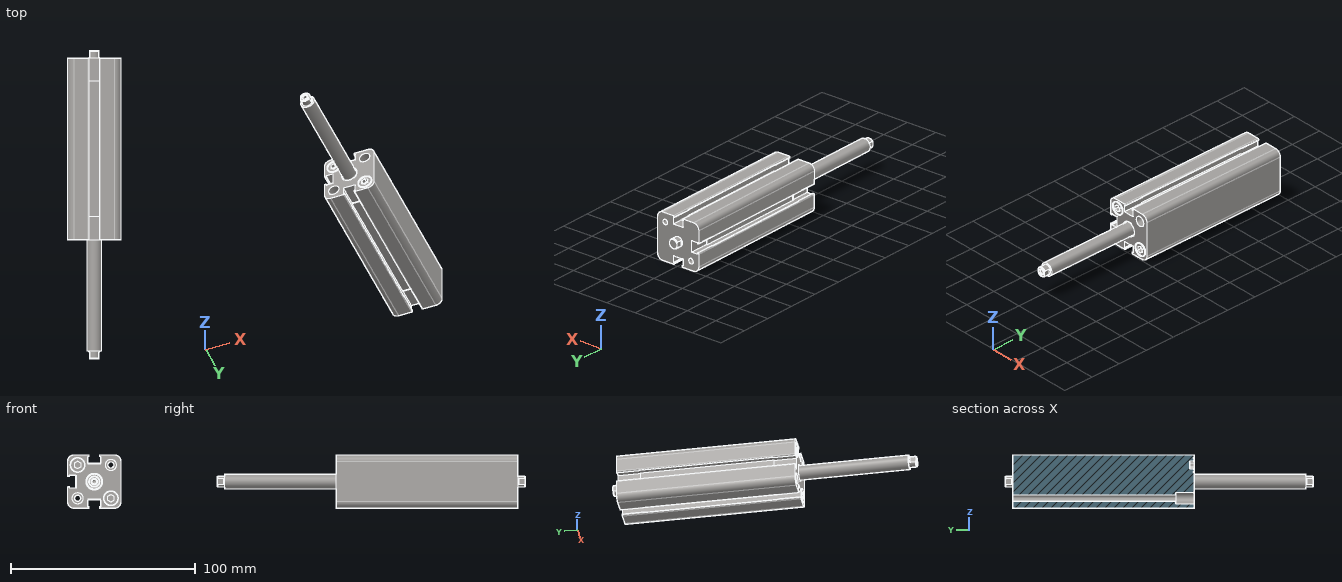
import cadquery as cq
import math


body_side = 29.0
body_length = 98.4
corner_radius = 3.7
cap_length = 12.5

slot_width = 6.8
slot_opening = 5.5
lip_thickness = 1.0
lip_round = lip_thickness / 2
cap_slot_depth = 5.0
barrel_slot_depth = 4.5

rod_diameter = 8.0
rod_extension = 60.3
rod_clearance_diameter = 9.0
rod_clearance_depth = 1.0

end_diameter = 6.0
end_length = 4.2
end_flats = 5.0
end_collar = 0.7
end_chamfer_depth = 0.3
end_chamfer_length = 0.5

rod_hole_diameter = 2.5
rod_hole_mouth = 3.5
rod_hole_depth = 6.7
drill_point_angle = 118

corner_offset = 9.0
through_diameter = 3.2
counterbore_diameter = 6.0
counterbore_depth = 10.0
screw_recess_diameter = 8.0
screw_recess_depth = 0.5
screw_head_diameter = 7.5
screw_socket_flats = 3.5
screw_socket_depth = 2.5
hex_sides = 6


def y_cylinder(diameter, y_start, length, x=0, z=0):
    """Cylinder along +Y from y_start, with its axis at (x, z)."""
    base = cq.Vector(x, y_start, z)
    return cq.Workplane(cq.Solid.makeCylinder(diameter / 2, length, base, cq.Vector(0, 1, 0)))


def y_cone(start_diameter, finish_diameter, y_start, length):
    """Cone along +Y, centred on the rod axis."""
    base = cq.Vector(0, y_start, 0)
    return cq.Workplane(
        cq.Solid.makeCone(start_diameter / 2, finish_diameter / 2, length, base, cq.Vector(0, 1, 0))
    )


def slot_cutter(depth, y_start, length, full_round_lips):
    """T-slot cut into the top side. Its lips have a full round nose, or only a rounded outer corner."""
    top = body_side / 2
    half_opening = slot_opening / 2
    half_width = slot_width / 2
    half_mouth = half_opening + lip_round
    sag = lip_round * (1 - math.sqrt(0.5))
    underside = top - lip_thickness
    profile = cq.Workplane("XZ", origin=(0, y_start, 0)).moveTo(-half_mouth, top)
    if full_round_lips:
        profile = profile.threePointArc((-half_opening, top - lip_round), (-half_mouth, underside))
    else:
        profile = profile.threePointArc(
            (-half_opening - sag, top - sag), (-half_opening, top - lip_round)
        ).lineTo(-half_opening, underside)
    profile = (
        profile.lineTo(-half_width, underside)
        .lineTo(-half_width, top - depth)
        .lineTo(0, top - depth)
        .lineTo(0, top)
        .close()
    )
    half_slot = profile.extrude(-length)
    return half_slot.union(half_slot.mirror("YZ"))


def make_body():
    body = (
        cq.Workplane("XZ")
        .rect(body_side, body_side)
        .extrude(-body_length)
        .edges("|Y")
        .fillet(corner_radius)
    )
    cutters = [
        slot_cutter(cap_slot_depth, 0, cap_length, False),
        slot_cutter(barrel_slot_depth, cap_length, body_length - 2 * cap_length, True),
        slot_cutter(cap_slot_depth, body_length - cap_length, cap_length, False),
    ]
    for angle in (0, 180, -90):
        for cutter in cutters:
            body = body.cut(cutter.rotate((0, 0, 0), (0, 1, 0), angle))
    return body


def cut_corner_holes(body):
    """Counterbored through holes on one diagonal, sunk socket screws on the other."""
    for side in (-1, 1):
        x = side * corner_offset
        body = body.cut(y_cylinder(through_diameter, 0, body_length, x, x))
        body = body.cut(y_cylinder(counterbore_diameter, 0, counterbore_depth, x, x))

        head_gap = y_cylinder(screw_recess_diameter, 0, screw_recess_depth, x, -x).cut(
            y_cylinder(screw_head_diameter, 0, screw_recess_depth, x, -x)
        )
        body = body.cut(head_gap)
        socket = (
            cq.Workplane("XZ")
            .polygon(hex_sides, screw_socket_flats / math.cos(math.pi / hex_sides))
            .extrude(-screw_socket_depth)
            .rotate((0, 0, 0), (0, 1, 0), 180 / hex_sides)
        )
        body = body.cut(socket.translate((x, 0, -x)))
    return body


def make_rod_end():
    """Rod end pointing to -Y, with its shoulder at Y = 0."""
    tip_diameter = end_diameter - 2 * end_chamfer_depth
    tip = y_cone(tip_diameter, end_diameter, -end_length, end_chamfer_length)
    shank_length = end_length - end_chamfer_length
    end = tip.union(y_cylinder(end_diameter, -shank_length, shank_length))
    half_flats = end_flats / 2
    half_end = end_diameter / 2
    runout = half_end - half_flats
    flats = (
        cq.Workplane("XY")
        .polyline([
            (-half_flats, -end_length),
            (half_flats, -end_length),
            (half_flats, -end_collar),
            (half_end, -end_collar + runout),
            (half_end, 0),
            (-half_end, 0),
            (-half_end, -end_collar + runout),
            (-half_flats, -end_collar),
        ])
        .close()
        .extrude(half_end, both=True)
    )
    return end.intersect(flats)


def cut_rod_hole(part):
    tip = -rod_extension - end_length
    mouth_depth = (rod_hole_mouth - rod_hole_diameter) / 2
    point_length = rod_hole_diameter / 2 / math.tan(math.radians(drill_point_angle / 2))
    part = part.cut(y_cylinder(rod_hole_diameter, tip, rod_hole_depth))
    part = part.cut(y_cone(rod_hole_mouth, rod_hole_diameter, tip, mouth_depth))
    return part.cut(y_cone(rod_hole_diameter, 0, tip + rod_hole_depth, point_length))


body = cut_corner_holes(make_body())
body = body.cut(y_cylinder(rod_clearance_diameter, 0, rod_clearance_depth))
rod = y_cylinder(rod_diameter, -rod_extension, rod_extension + body_length)
front_end = make_rod_end().translate((0, -rod_extension, 0))
back_end = make_rod_end().mirror("XZ").translate((0, body_length, 0))

result = cut_rod_hole(body.union(rod).union(front_end).union(back_end))